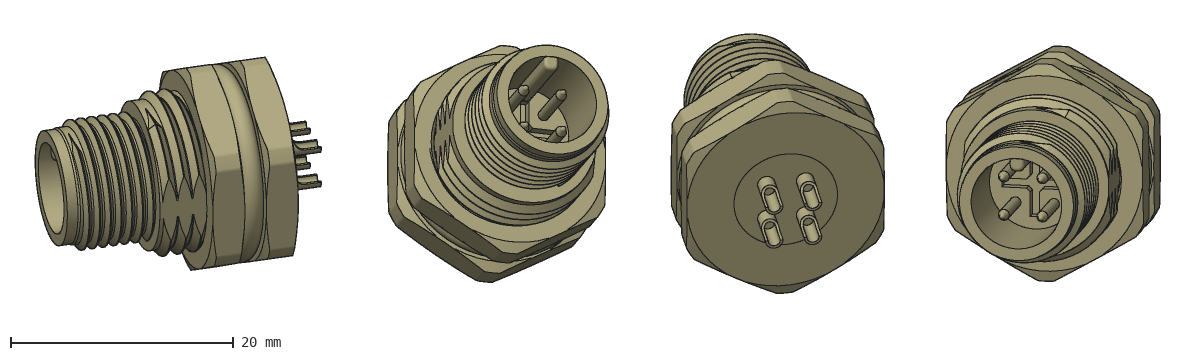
import cadquery as cq
import math


NOSE_LENGTH = 1.0
NOSE_BEVEL = 0.2
STEP_Y = 8.2
NUT_FRONT_Y = 12.5
HEX_THICKNESS = 3.0
RING_SECTION = 2.0
PIN_TAIL_LENGTH = 4.0
NUT_BACK_Y = NUT_FRONT_Y + HEX_THICKNESS
FLANGE_FRONT_Y = NUT_BACK_Y + RING_SECTION
FLANGE_BACK_Y = FLANGE_FRONT_Y + HEX_THICKNESS
PIN_BACK_Y = FLANGE_BACK_Y + PIN_TAIL_LENGTH

NOSE_DIAMETER = 10.45
BORE_DIAMETER = 8.3
PLUG_ROOT_DIAMETER = 10.65
PLUG_CREST_DIAMETER = 11.8
PLUG_PITCH = 1.0
PLUG_START_Y = 1.62
PLUG_END_Y = 8.03
PLUG_BASE_WIDTH = 0.8
PLUG_LEAD_ANGLE = 28.0
BODY_ROOT_DIAMETER = 13.6
BODY_CREST_DIAMETER = 14.9
BODY_PITCH = 1.41
BODY_START_Y = 8.81
BODY_BASE_WIDTH = 1.3
BODY_LEAD_ANGLE = 24.0
BODY_FLATS_WIDTH = 13.5
CREST_WIDTH = 0.1
LEAD_TIP_HEIGHT = 0.06
ROOT_OVERLAP = 0.15
SEAT_DIAMETER = 9.45

HEX_ACROSS_FLATS = 18.0
HEX_ACROSS_CORNERS = 20.0
HEX_EDGE_RADIUS = 0.6
HEX_BEVEL_DEPTH = 0.33
NUT_BORE_DIAMETER = 13.8
NUT_GROOVE_DIAMETER = 15.2
NUT_TURN_ANGLE = 0.45

INSERT_FACE_Y = STEP_Y
KEY_WIDTH = 1.3
KEY_INNER_Z = 2.92
KEY_FRONT_Y = 0.1
KEY_CORNER_RADIUS = 0.55
KEY_NOSE_RADIUS = 0.3
CROSS_SPAN = 6.0
CROSS_ARM_WIDTH = 0.83
CROSS_CORNER_BEVEL = 0.33
CROSS_DEPTH = 1.0

PIN_CIRCLE_DIAMETER = 5.0
PIN_OFFSET = PIN_CIRCLE_DIAMETER / 2 / math.sqrt(2)
PIN_DIAMETER = 1.0
TAIL_DIAMETER = 1.6
TAIL_FRONT_Y = 15.5
PIN_TIP_Y = 2.1
PIN_CAP_RADIUS = 0.27
PIN_TAPER_LENGTH = 0.63
CUP_DIAMETER = 1.1
CUP_DEPTH = 3.0
CUP_FLAT_LENGTH = 1.5
CUP_RUNOUT_RADIUS = 1.0


def revolve_about_axis(profile):
    """Revolve a closed (radius, y) outline about the Y axis."""
    return profile.close().revolve(360, (0, 0, 0), (0, 1, 0))


def cylinder(diameter, front_y, back_y):
    """Round rod on the Y axis."""
    return cq.Workplane("XZ", origin=(0, back_y, 0)).circle(diameter / 2).extrude(back_y - front_y)


def add_thread(rod, root_diameter, crest_diameter, pitch, base_width, start_y, end_y, lead_angle):
    """Add to a rod a right-hand ridge that rises at the +Z side from a pointed lead-in at start_y."""
    core = root_diameter / 2 - ROOT_OVERLAP
    crest = crest_diameter / 2
    slope = (base_width - CREST_WIDTH) / (crest_diameter - root_diameter)
    half_base = base_width / 2 + slope * ROOT_OVERLAP
    half_crest = CREST_WIDTH / 2
    section = [(core, -half_base), (crest, -half_crest), (crest, half_crest), (core, half_base)]

    ridge_start_y = start_y + pitch * lead_angle / 360
    path = cq.Wire.makeHelix(pitch, end_y - ridge_start_y, core)
    ridge = cq.Workplane("XZ").polyline(section).close().sweep(cq.Workplane(obj=path), isFrenet=True)

    tip_radius = root_diameter / 2 + LEAD_TIP_HEIGHT
    lead = math.radians(lead_angle)
    tip = cq.Vector(
        tip_radius * math.cos(lead), -tip_radius * math.sin(lead), start_y - ridge_start_y
    )
    corners = [cq.Vector(radius, 0, z) for radius, z in section]
    faces = [cq.Face.makeFromWires(cq.Wire.makePolygon(corners, close=True))]
    for first, second in zip(corners, corners[1:] + corners[:1]):
        faces.append(cq.Face.makeFromWires(cq.Wire.makePolygon([first, second, tip], close=True)))
    lead_in = cq.Solid.makeSolid(cq.Shell.makeShell(faces))

    for piece in (ridge, cq.Workplane(obj=lead_in)):
        turned = piece.rotate((0, 0, 0), (0, 0, 1), lead_angle - 90).rotate((0, 0, 0), (1, 0, 0), -90)
        rod = rod.union(turned.translate((0, ridge_start_y, 0)))
    return rod


def hexagon(front_y):
    """Hexagonal disc with corners up and down, rounded corners and bevelled ends."""
    flats_radius = HEX_ACROSS_FLATS / 2
    corner_radius = HEX_ACROSS_CORNERS / 2
    back_y = front_y + HEX_THICKNESS
    prism = (
        cq.Workplane("XZ", origin=(0, back_y, 0))
        .polygon(6, HEX_ACROSS_FLATS, circumscribed=True)
        .extrude(HEX_THICKNESS)
    )
    prism = prism.intersect(cylinder(HEX_ACROSS_CORNERS, front_y, back_y)).edges("|Y").fillet(HEX_EDGE_RADIUS)
    bevels = revolve_about_axis(
        cq.Workplane("XY")
        .moveTo(0, front_y)
        .lineTo(flats_radius, front_y)
        .lineTo(corner_radius, front_y + HEX_BEVEL_DEPTH)
        .lineTo(corner_radius, back_y - HEX_BEVEL_DEPTH)
        .lineTo(flats_radius, back_y)
        .lineTo(0, back_y)
    )
    return prism.intersect(bevels)


def large_threaded_rod(root_diameter, crest_diameter):
    """Rod with the large thread, long enough to run out behind the nut."""
    ridge_end_y = NUT_BACK_Y + BODY_PITCH
    return add_thread(
        cylinder(root_diameter, STEP_Y, ridge_end_y + BODY_PITCH),
        root_diameter, crest_diameter, BODY_PITCH, BODY_BASE_WIDTH,
        BODY_START_Y, ridge_end_y, BODY_LEAD_ANGLE,
    )


def large_barrel():
    """Barrel behind the step: threaded as far as the nut, plain under the seal ring, flat on two sides."""
    thread_zone = cylinder(HEX_ACROSS_FLATS, STEP_Y, NUT_BACK_Y)
    threaded = large_threaded_rod(BODY_ROOT_DIAMETER, BODY_CREST_DIAMETER).intersect(thread_zone)
    neck = cylinder(BODY_ROOT_DIAMETER, NUT_BACK_Y, FLANGE_FRONT_Y)
    length = FLANGE_FRONT_Y - STEP_Y
    flats = cq.Workplane("XY").box(BODY_FLATS_WIDTH, length, HEX_ACROSS_FLATS)
    return threaded.union(neck).intersect(flats.translate((0, STEP_Y + length / 2, 0)))


def plug_barrel():
    """Small threaded barrel with a plain nose, in front of the step."""
    nose_radius = NOSE_DIAMETER / 2
    root_radius = PLUG_ROOT_DIAMETER / 2
    barrel = revolve_about_axis(
        cq.Workplane("XY")
        .moveTo(0, 0)
        .lineTo(nose_radius, 0)
        .lineTo(nose_radius, NOSE_LENGTH)
        .lineTo(root_radius, NOSE_LENGTH + NOSE_BEVEL)
        .lineTo(root_radius, STEP_Y)
        .lineTo(0, STEP_Y)
    )
    return add_thread(
        barrel,
        PLUG_ROOT_DIAMETER, PLUG_CREST_DIAMETER, PLUG_PITCH, PLUG_BASE_WIDTH,
        PLUG_START_Y, PLUG_END_Y, PLUG_LEAD_ANGLE,
    )


def make_housing():
    """Plug barrel, large barrel and hexagonal flange in one piece, bored through."""
    housing = large_barrel().union(plug_barrel()).union(hexagon(FLANGE_FRONT_Y))
    housing = housing.cut(cylinder(BORE_DIAMETER, 0, INSERT_FACE_Y))
    return housing.cut(cylinder(SEAT_DIAMETER, INSERT_FACE_Y, FLANGE_BACK_Y))


def make_nut():
    """Hexagonal nut with an internal thread that clears the thread of the large barrel."""
    blank = hexagon(NUT_FRONT_Y).rotate((0, 0, 0), (0, 1, 0), -NUT_TURN_ANGLE)
    return blank.cut(large_threaded_rod(NUT_BORE_DIAMETER, NUT_GROOVE_DIAMETER))


def make_seal_ring():
    """O-ring between the nut and the flange."""
    section_radius = RING_SECTION / 2
    centre_radius = HEX_ACROSS_FLATS / 2 - section_radius
    return (
        cq.Workplane("XY")
        .center(centre_radius, NUT_BACK_Y + section_radius)
        .circle(section_radius)
        .revolve(360, (-centre_radius, 0, 0), (-centre_radius, 1, 0))
    )


def make_pin():
    """Contact pin on the Y axis, with a rounded tip and an open solder cup."""
    pin_radius = PIN_DIAMETER / 2
    tail_radius = TAIL_DIAMETER / 2
    cap_y = PIN_TIP_Y + PIN_CAP_RADIUS
    cap_middle = PIN_CAP_RADIUS * math.sqrt(0.5)
    pin = revolve_about_axis(
        cq.Workplane("XY")
        .moveTo(0, PIN_TIP_Y)
        .threePointArc((cap_middle, cap_y - cap_middle), (PIN_CAP_RADIUS, cap_y))
        .lineTo(pin_radius, cap_y + PIN_TAPER_LENGTH)
        .lineTo(pin_radius, TAIL_FRONT_Y)
        .lineTo(tail_radius, TAIL_FRONT_Y)
        .lineTo(tail_radius, PIN_BACK_Y)
        .lineTo(0, PIN_BACK_Y)
    )
    flat_end_y = PIN_BACK_Y - CUP_FLAT_LENGTH
    bend = CUP_RUNOUT_RADIUS * math.sqrt(0.5)
    opening = (
        cq.Workplane("YZ", origin=(-TAIL_DIAMETER / 2, 0, 0))
        .moveTo(PIN_BACK_Y, 0)
        .lineTo(flat_end_y, 0)
        .threePointArc(
            (flat_end_y - bend, CUP_RUNOUT_RADIUS - bend),
            (flat_end_y - CUP_RUNOUT_RADIUS, CUP_RUNOUT_RADIUS),
        )
        .lineTo(PIN_BACK_Y, CUP_RUNOUT_RADIUS)
        .close()
        .extrude(TAIL_DIAMETER)
    )
    cup = cylinder(CUP_DIAMETER, PIN_BACK_Y - CUP_DEPTH, PIN_BACK_Y)
    return pin.cut(opening).cut(cup)


def coding_key():
    """Rib along the top of the bore, with rounded inner corners and a rounded front end."""
    top_z = BORE_DIAMETER / 2 + KEY_NOSE_RADIUS
    height = top_z - KEY_INNER_Z
    rib = (
        cq.Workplane("XZ", origin=(0, INSERT_FACE_Y, 0))
        .center(0, KEY_INNER_Z + height / 2)
        .rect(KEY_WIDTH, height)
        .extrude(INSERT_FACE_Y - KEY_FRONT_Y)
        .edges("|Y and <Z")
        .fillet(KEY_CORNER_RADIUS)
        .faces("<Y")
        .edges()
        .fillet(KEY_NOSE_RADIUS)
    )
    return rib.intersect(cylinder(BORE_DIAMETER, KEY_FRONT_Y, INSERT_FACE_Y))


def cross_groove():
    """Cross-shaped groove in the insert face, with bevelled inner corners."""
    start = cq.Workplane("XZ", origin=(0, INSERT_FACE_Y + CROSS_DEPTH, 0))
    across = start.rect(CROSS_SPAN, CROSS_ARM_WIDTH).extrude(CROSS_DEPTH)
    upright = start.rect(CROSS_ARM_WIDTH, CROSS_SPAN).extrude(CROSS_DEPTH)
    inner_corners = cq.selectors.BoxSelector(
        (-CROSS_ARM_WIDTH, INSERT_FACE_Y, -CROSS_ARM_WIDTH),
        (CROSS_ARM_WIDTH, INSERT_FACE_Y + CROSS_DEPTH, CROSS_ARM_WIDTH),
    )
    return across.union(upright).edges("|Y").edges(inner_corners).chamfer(CROSS_CORNER_BEVEL)


def make_insert(pins):
    """Contact carrier behind the bore, with its key, its groove and a hole round each pin."""
    insert = cylinder(SEAT_DIAMETER, INSERT_FACE_Y, FLANGE_BACK_Y).cut(cross_groove()).union(coding_key())
    for pin in pins:
        insert = insert.cut(pin)
    return insert


housing = make_housing()
nut = make_nut()
seal_ring = make_seal_ring()
pins = []
for x_side in (-1, 1):
    for z_side in (-1, 1):
        pins.append(make_pin().translate((x_side * PIN_OFFSET, 0, z_side * PIN_OFFSET)))
insert = make_insert(pins)

result = cq.Compound.makeCompound(
    [
        housing.solids().val(),
        nut.solids().val(),
        seal_ring.val(),
        insert.solids().val(),
        *[pin.solids().val() for pin in pins],
    ]
)